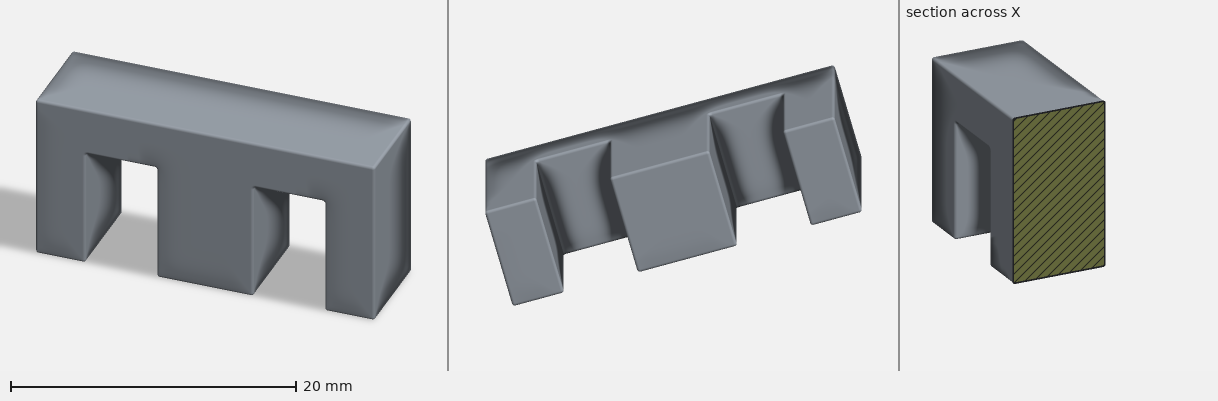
import cadquery as cq

length = 25.5
depth = 7.25
height = 12.55

center_leg_width = depth
outer_leg_span = 18.0
window_height = 8.95
edge_radius = 0.2

window_width = (outer_leg_span - center_leg_width) / 2
window_offset = (outer_leg_span + center_leg_width) / 4


def make_block():
    """Plain block centred in X and Y, standing on Z = 0."""
    return cq.Workplane("XY").box(length, depth, height, centered=(True, True, False))


def make_window(center_x):
    """Window open at the bottom and through the full depth."""
    window = cq.Workplane("XY").box(window_width, depth, window_height, centered=(True, True, False))
    return window.translate((center_x, 0, 0))


core = make_block()
for side in (-1, 1):
    core = core.cut(make_window(side * window_offset))

result = core.edges().fillet(edge_radius)